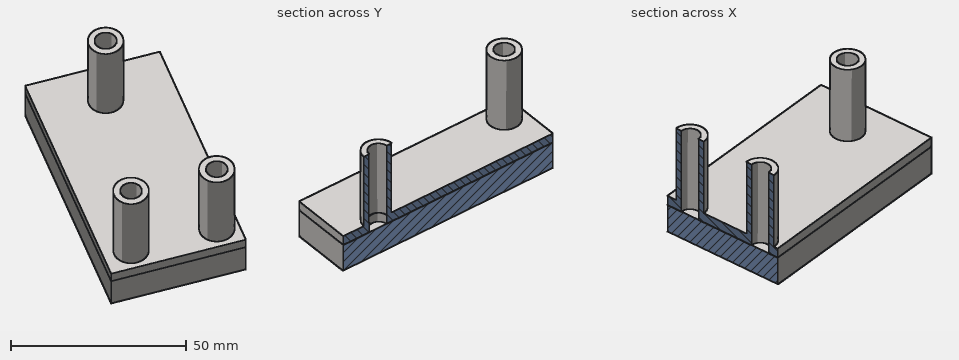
import cadquery as cq

length = 76.2
width = 40.6
total_height = 37.95
base_height = 9.5
plate_thickness = 3.2
plate_top = base_height + plate_thickness

post_diameter = 10.2
single_post_x = -25.5
single_post_y = -0.3
pair_x = 31.3
pair_centre_y = 0.9
pair_spacing = 25.8
single_post_centre = (single_post_x, single_post_y)
pair_centres = [(pair_x, pair_centre_y + side * pair_spacing / 2) for side in (-1, 1)]

hole_diameter = 6.2
single_bore_diameter = 6.3
plate_hole_offset = 0.1
single_hole_centre = (single_post_x + plate_hole_offset, single_post_y - plate_hole_offset)


def make_cylinder(centre, diameter, bottom, top):
    """Upright cylinder between two heights."""
    return (
        cq.Workplane("XY", origin=(0, 0, bottom))
        .center(*centre)
        .circle(diameter / 2)
        .extrude(top - bottom)
    )


def make_base():
    """Plain rectangular block with its underside at Z = 0."""
    return cq.Workplane("XY").box(length, width, base_height, centered=(True, True, False))


def make_cover():
    """Cover plate with three hollow posts formed on it as one solid."""
    cover = cq.Workplane("XY", origin=(0, 0, base_height)).box(
        length, width, plate_thickness, centered=(True, True, False)
    )
    for centre in [single_post_centre, *pair_centres]:
        cover = cover.union(make_cylinder(centre, post_diameter, plate_top, total_height))
    for centre in pair_centres:
        cover = cover.cut(make_cylinder(centre, hole_diameter, base_height, total_height))
    cover = cover.cut(make_cylinder(single_post_centre, single_bore_diameter, plate_top, total_height))
    return cover.cut(make_cylinder(single_hole_centre, hole_diameter, base_height, plate_top))


base = make_base()
cover = make_cover()

result = cq.Compound.makeCompound([base.val(), cover.solids().val()])